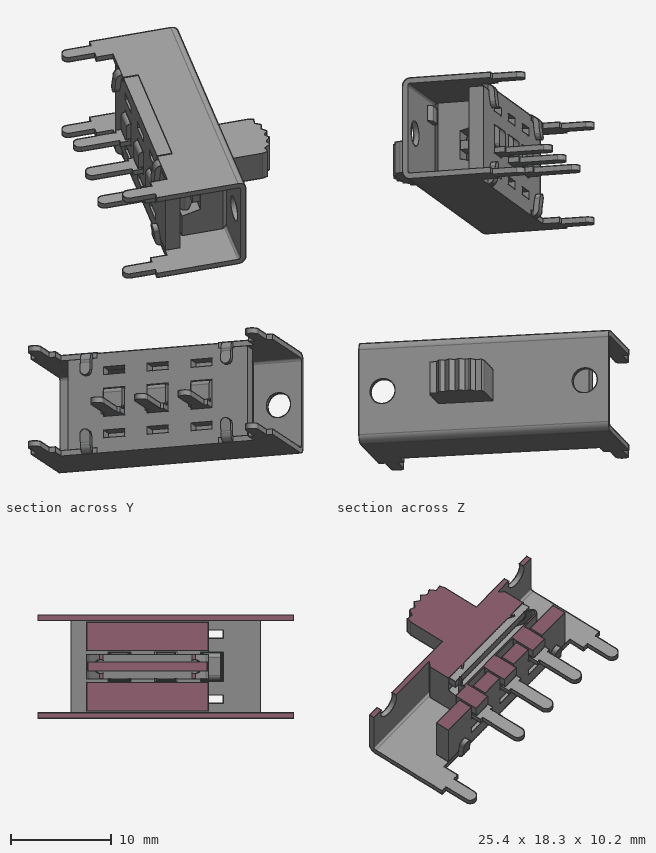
import cadquery as cq
import math


length = 25.4
height = 10.25
sheet = 0.55
bend_outer_radius = 0.8
bend_inner_radius = bend_outer_radius - sheet
wall_inner_z = height / 2 - sheet
wall_end_y = -7.42
foot_end_y = -9.15
foot_width = 2.55
leg_width = 1.27
leg_end_y = -12.32
mount_hole_diameter = 2.55
mount_hole_x = 10.29
window_width = 12.75
window_top_y = -5.87

tab_x = 7.4
tab_width = 1.05
tab_outer_y = -8.05
tab_knee_z = 4.1
tab_tip_z = 2.77
tab_tip_lean = 0.18

board_length = 18.85
board_top_z = 5.05
board_bottom_z = -height / 2
board_back_y = -5.87
board_front_y = -7.4
terminal_pitch = 4.6
terminal_places = (-terminal_pitch, 0, terminal_pitch)
slot_width = 2.2
terminal_slot_height = 2.9
side_slot_height = 0.8
side_slot_z = 3.23

terminal_width = 1.95
terminal_height = 2.75
terminal_back_y = -5.25
terminal_back_radius = 0.48
terminal_back_chamfer = 0.13
cap_front_y = -7.85
cap_edge_radius = 0.48
cap_corner_radius = 0.33
shoulder_front_y = -8.43
pin_width = 1.32
pin_end_y = -13.0

knob_x = 1.8
knob_width = 5.54
knob_height = 3.2
knob_shoulder_y = 3.94
crown_middle_y = 4.88
serrations = [(2.62, 4.5), (1.98, 4.42), (1.63, 4.98), (1.47, 4.98), (1.02, 4.8), (0.5, 5.28)]
slider_left_x = -4.25
slider_length = 2 * (knob_x - slider_left_x)
slider_height = 8.81
slider_front_y = -5.25
slider_chamfer = 0.48
channel_floor_y = -3.35
channel_floor_height = 2.85
channel_mouth_height = 3.8
nub_height = 0.91
nub_front_y = -4.17
nub_setback = 0.1
detent_depth = 0.48
detent_width = 2.03
detent_x = -5.18
detent_bottom_z = 2.2
detent_length = 1.57

clip_height = 2.41
clip_thickness = 0.2
clip_roll_radius = 0.45
clip_overlap = 0.05
clip_front_y = terminal_back_y - clip_overlap
clip_slope = 30.0
clip_hole_diameter = 1.37
clip_hole_y = -3.84


def block(x_range, y_range, z_range):
    """Box between the given limits on each axis."""
    sizes = [max(r) - min(r) for r in (x_range, y_range, z_range)]
    corner = tuple(min(r) for r in (x_range, y_range, z_range))
    return cq.Workplane("XY").box(*sizes, centered=False).translate(corner)


def centered(size, place=0.0):
    """Limits of a span of the given size around a place."""
    return place - size / 2, place + size / 2


def mirrored_z(shape):
    return shape.union(shape.mirror("XY"))


def round_ended_strip(x, width, start_y, end_y, z_range):
    """Flat strip running towards -Y with a full round end."""
    radius = width / 2
    return (
        cq.Workplane("XY", origin=(x, 0, min(z_range)))
        .moveTo(-radius, start_y)
        .lineTo(-radius, end_y + radius)
        .threePointArc((0, end_y), (radius, end_y + radius))
        .lineTo(radius, start_y)
        .close()
        .extrude(max(z_range) - min(z_range))
    )


def make_tab(x):
    """Upper clamping tab, bent over the board and leaning outwards at its tip."""
    bend_y = tab_outer_y + bend_outer_radius
    bend_z = height / 2 - bend_outer_radius
    inner_y = tab_outer_y + sheet
    diagonal = math.sqrt(0.5)
    strip = (
        cq.Workplane("YZ", origin=(x - tab_width / 2, 0, 0))
        .moveTo(bend_y, height / 2)
        .threePointArc(
            (bend_y - bend_outer_radius * diagonal, bend_z + bend_outer_radius * diagonal),
            (tab_outer_y, bend_z),
        )
        .lineTo(tab_outer_y, tab_knee_z)
        .lineTo(tab_outer_y - tab_tip_lean, tab_tip_z)
        .lineTo(inner_y - tab_tip_lean, tab_tip_z)
        .lineTo(inner_y, tab_knee_z)
        .lineTo(inner_y, bend_z)
        .threePointArc(
            (bend_y - bend_inner_radius * diagonal, bend_z + bend_inner_radius * diagonal),
            (bend_y, bend_z + bend_inner_radius),
        )
        .close()
        .extrude(tab_width)
    )
    radius = tab_width / 2
    rounded = (
        cq.Workplane("XZ", origin=(x, 0, 0))
        .moveTo(-radius, height / 2)
        .lineTo(-radius, tab_tip_z + radius)
        .threePointArc((0, tab_tip_z), (radius, tab_tip_z + radius))
        .lineTo(radius, height / 2)
        .close()
        .extrude(-foot_end_y)
    )
    return strip.intersect(rounded)


def make_frame():
    """U-shaped sheet with feet, legs, board windows, mounting holes and tabs."""
    full_length = centered(length)
    outside = block(full_length, (0, foot_end_y), centered(height))
    outside = outside.edges(">Y and |X").fillet(bend_outer_radius)
    inside = block(full_length, (-sheet, 2 * foot_end_y), centered(2 * wall_inner_z))
    inside = inside.edges(">Y and |X").fillet(bend_inner_radius)
    frame = outside.cut(inside)

    between_feet = centered(length - 2 * foot_width)
    frame = frame.cut(block(between_feet, (wall_end_y, foot_end_y), centered(height)))
    frame = frame.cut(block(centered(window_width), (window_top_y, foot_end_y), centered(height)))

    for side in (-1, 1):
        hole = cq.Workplane("XZ", origin=(side * mount_hole_x, 0, 0)).circle(mount_hole_diameter / 2)
        frame = frame.cut(hole.extrude(sheet))
        leg_x = side * (length - foot_width) / 2
        leg = round_ended_strip(leg_x, leg_width, foot_end_y, leg_end_y, (wall_inner_z, height / 2))
        frame = frame.union(mirrored_z(leg))
        frame = frame.union(mirrored_z(make_tab(side * tab_x)))
    return frame


def make_board():
    """Insulating board: a slab between the walls that fills the wall windows."""
    depth = (board_back_y, board_front_y)
    board = block(centered(board_length), depth, centered(2 * wall_inner_z))
    board = board.union(block(centered(window_width), depth, (board_bottom_z, board_top_z)))
    for x in terminal_places:
        board = board.cut(block(centered(slot_width, x), depth, centered(terminal_slot_height)))
        for z in (-side_slot_z, side_slot_z):
            board = board.cut(block(centered(slot_width, x), depth, centered(side_slot_height, z)))
    return board


def make_terminal(x):
    """Terminal through the board, with a rounded cap and a flat pin below it."""
    width = centered(terminal_width, x)
    bottom_z = -terminal_height / 2
    pin_top_z = bottom_z + sheet
    body = block(width, (terminal_back_y, board_front_y), centered(terminal_height))
    body = body.edges(">Y and |X").fillet(terminal_back_radius)
    body = body.edges(">Y and |Z").chamfer(terminal_back_chamfer)
    cap = block(width, (board_back_y, cap_front_y), (pin_top_z, terminal_height / 2))
    cap = cap.edges("<Z and |Y").fillet(cap_corner_radius)
    cap = cap.edges("<Y and >Z").fillet(cap_edge_radius)
    shoulder = block(width, (board_back_y, shoulder_front_y), (bottom_z, pin_top_z))
    pin = round_ended_strip(x, pin_width, board_back_y, pin_end_y, (bottom_z, pin_top_z))
    return body.union(cap).union(shoulder).union(pin)


def make_knob():
    """Finger knob with a serrated, crowned end."""
    half_crown = [(knob_width / 2, knob_shoulder_y)] + serrations
    crown = half_crown + [(0, crown_middle_y)] + [(-x, y) for x, y in reversed(half_crown)]
    outline = [(knob_width / 2, -sheet)] + crown + [(-knob_width / 2, -sheet)]
    plane = cq.Workplane("XY", origin=(knob_x, 0, -knob_height / 2))
    return plane.polyline(outline).close().extrude(knob_height)


def make_slider():
    """Slider body with a tapered channel and a nub at each end to hold the clip."""
    x_range = centered(slider_length, knob_x)
    body = block(x_range, (-sheet, slider_front_y), centered(slider_height))
    body = body.edges(">Y and |Z").chamfer(slider_chamfer)
    channel = (
        cq.Workplane("YZ", origin=(slider_left_x, 0, 0))
        .polyline(
            [
                (channel_floor_y, channel_floor_height / 2),
                (slider_front_y, channel_mouth_height / 2),
                (slider_front_y, -channel_mouth_height / 2),
                (channel_floor_y, -channel_floor_height / 2),
            ]
        )
        .close()
        .extrude(slider_length)
    )
    nub_range = centered(slider_length - 2 * nub_setback, knob_x)
    nub = block(nub_range, (channel_floor_y, nub_front_y), centered(nub_height))
    return body.cut(channel).union(nub)


def make_detent():
    """Flat-topped detent with rounded flanks, pressed inwards from the back plate."""
    x_range = centered(detent_width, detent_x)
    z_range = (detent_bottom_z, detent_bottom_z + detent_length)
    bump = block(x_range, (-sheet / 2, -sheet - detent_depth), z_range)
    return bump.edges("<Y and |Z").fillet(detent_depth)


def make_clip():
    """Contact strip: flat run over the terminals, rolled up at both ends to slope back inwards."""
    slope = math.radians(clip_slope)
    roll_x = slider_left_x + clip_roll_radius
    roll_y = clip_front_y + clip_roll_radius

    def end_outline(radius):
        """Bottom, outermost and upper tangent points of the roll, and the end of the slope."""
        bottom = (roll_x, roll_y - radius)
        outermost = (roll_x - radius, roll_y)
        upper = (roll_x - radius * math.sin(slope), roll_y + radius * math.cos(slope))
        rise = channel_floor_y - upper[1]
        tip = (upper[0] + rise / math.tan(slope), channel_floor_y)
        return bottom, outermost, upper, tip

    bottom, outermost, upper, tip = end_outline(clip_roll_radius)
    in_bottom, in_outermost, in_upper, in_tip = end_outline(clip_roll_radius - clip_thickness)
    half = (
        cq.Workplane("XY", origin=(0, 0, -clip_height / 2))
        .moveTo(knob_x, bottom[1])
        .lineTo(*bottom)
        .threePointArc(outermost, upper)
        .lineTo(*tip)
        .lineTo(*in_tip)
        .lineTo(*in_upper)
        .threePointArc(in_outermost, in_bottom)
        .lineTo(knob_x, in_bottom[1])
        .close()
        .extrude(clip_height)
    )
    hole_x = upper[0] + (clip_hole_y - upper[1]) / math.tan(slope)
    normal = (-math.sin(slope), math.cos(slope), 0)
    hole_plane = cq.Plane(origin=(hole_x, clip_hole_y, 0), xDir=(0, 0, 1), normal=normal)
    hole = cq.Workplane(hole_plane).circle(clip_hole_diameter / 2)
    half = half.cut(hole.extrude(clip_thickness, both=True))
    return half.union(half.mirror("YZ", (knob_x, 0, 0)))


result = make_frame().union(make_board()).union(make_knob()).union(make_detent())
result = result.union(make_slider()).union(make_clip())
for terminal_x in terminal_places:
    result = result.union(make_terminal(terminal_x))